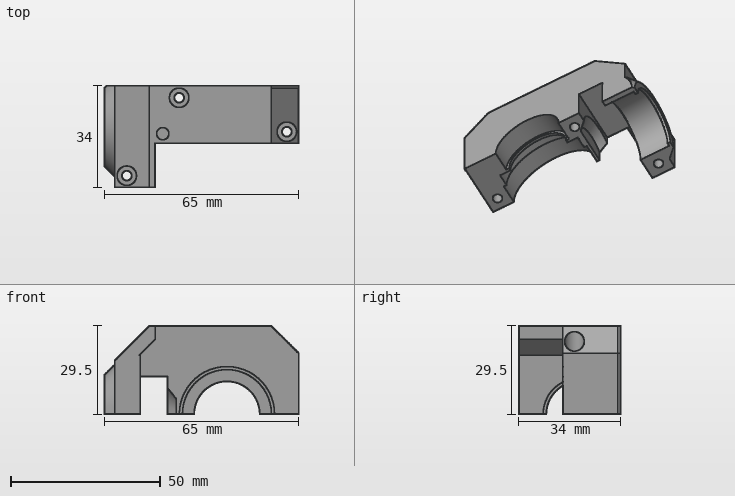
import cadquery as cq

length = 65.0
depth = 34.0
height = 29.5

collar_length = 3.4
arm_end_x = 12.0
arm_top_end_x = 16.95
arm_lip_z = 25.0
arm_notch_z = 19.6
arm_notch_x = arm_top_end_x - (arm_lip_z - arm_notch_z)
beam_front_y = 14.7
left_bevel = 11.6
right_bevel = 9.1
rear_lip_height = 0.1
rear_lip_thickness = 0.9
beam_end_x = length - rear_lip_height

passage_end_x = 21.05
passage_height = 12.55

arm_bore_y = 20.15
beam_bore_x = 40.95
lip_radius = 10.9
seat_radius = 12.0
collar_tip_radius = 13.1
collar_base_radius = collar_tip_radius + collar_length
arm_lip_length = 1.05
beam_lip_length = 0.9
beam_outer_radius = 15.9
beam_outer_depth = 6.9
beam_inner_radius = 14.9
beam_inner_depth = 4.35
cone_recess_radius = 10.35
cone_recess_depth = 2.9

screw_diameter = 3.2
screw_head_diameter = 6.5
screw_head_floor_z = 13.0
screw_centres = [(7.5, 3.9), (24.95, 29.95), (61.0, 18.6)]
blind_hole_diameter = 4.1
blind_hole_depth = 9.75
blind_hole_centre = (19.5, 17.95)


def prism(points, start_y, end_y):
    """Extrude an XZ outline from start_y to end_y."""
    plane = cq.Workplane("XZ", origin=(0, start_y, 0))
    return plane.polyline(points).close().extrude(start_y - end_y)


def cylinder_x(start, end, radius):
    """Cylinder on the arm bore axis."""
    return cq.Workplane("YZ", origin=(start, arm_bore_y, 0)).circle(radius).extrude(end - start)


def cone_x(start, end, start_radius, end_radius):
    """Truncated cone on the arm bore axis."""
    outline = [(start, 0), (end, 0), (end, end_radius), (start, start_radius)]
    profile = cq.Workplane("XY", origin=(0, arm_bore_y, 0)).polyline(outline).close()
    return profile.revolve(360, (0, 0, 0), (1, 0, 0))


def cylinder_y(start, end, radius):
    """Cylinder on the beam bore axis."""
    return cq.Workplane("XZ", origin=(beam_bore_x, start, 0)).circle(radius).extrude(start - end)


def cylinder_z(centre, start, end, diameter):
    """Vertical cylinder between two heights."""
    plane = cq.Workplane("XY", origin=(*centre, start))
    return plane.circle(diameter / 2).extrude(end - start)


def beam_outline(end_x):
    """Bevelled outline of the beam, ending at end_x."""
    return [
        (collar_length, 0),
        (collar_length, height - left_bevel),
        (collar_length + left_bevel, height),
        (beam_end_x - right_bevel, height),
        (end_x, height - right_bevel),
        (end_x, 0),
    ]


def make_body():
    """Beam with its rear lip, the forward arm and the conical collar."""
    beam = prism(beam_outline(beam_end_x), beam_front_y, depth)
    rear_lip = prism(beam_outline(length), depth - rear_lip_thickness, depth)
    arm_outline = [
        (collar_length, 0),
        (collar_length, height - left_bevel),
        (collar_length + left_bevel, height),
        (arm_top_end_x, height),
        (arm_top_end_x, arm_lip_z),
        (arm_notch_x, arm_notch_z),
        (arm_end_x, arm_notch_z),
        (arm_end_x, 0),
    ]
    arm = prism(arm_outline, 0, depth)
    collar = cone_x(0, collar_length, collar_tip_radius, collar_base_radius)
    envelope = cq.Workplane("XY").box(length, depth, height, centered=False)
    return beam.union(rear_lip).union(arm).union(collar.intersect(envelope))


def cut_passage(body):
    """Straight passage along Y, open at the bottom."""
    passage = cq.Workplane("XY", origin=(arm_end_x, 0, 0)).box(
        passage_end_x - arm_end_x, depth, passage_height, centered=False
    )
    return body.cut(passage)


def cut_arm_bore(body):
    """Lip and bearing seat in the arm, conical recess in the block opposite."""
    body = body.cut(cylinder_x(0, arm_end_x, lip_radius))
    body = body.cut(cylinder_x(arm_lip_length, arm_end_x, seat_radius))
    recess_end_x = passage_end_x + cone_recess_depth
    recess_end_radius = cone_recess_radius - cone_recess_depth
    return body.cut(cone_x(passage_end_x, recess_end_x, cone_recess_radius, recess_end_radius))


def cut_beam_bore(body):
    """Two front counterbores, a narrow lip and the rear bearing seat."""
    outer_end = beam_front_y + beam_outer_depth
    inner_end = outer_end + beam_inner_depth
    lip_end = inner_end + beam_lip_length
    body = body.cut(cylinder_y(beam_front_y, outer_end, beam_outer_radius))
    body = body.cut(cylinder_y(outer_end, inner_end, beam_inner_radius))
    body = body.cut(cylinder_y(inner_end, lip_end, lip_radius))
    return body.cut(cylinder_y(lip_end, depth, seat_radius))


def cut_holes(body):
    """Counterbored screw holes and one blind hole, all from the top."""
    for centre in screw_centres:
        body = body.cut(cylinder_z(centre, 0, height, screw_diameter))
        body = body.cut(cylinder_z(centre, screw_head_floor_z, height, screw_head_diameter))
    blind_floor_z = height - blind_hole_depth
    return body.cut(cylinder_z(blind_hole_centre, blind_floor_z, height, blind_hole_diameter))


result = cut_holes(cut_beam_bore(cut_arm_bore(cut_passage(make_body()))))